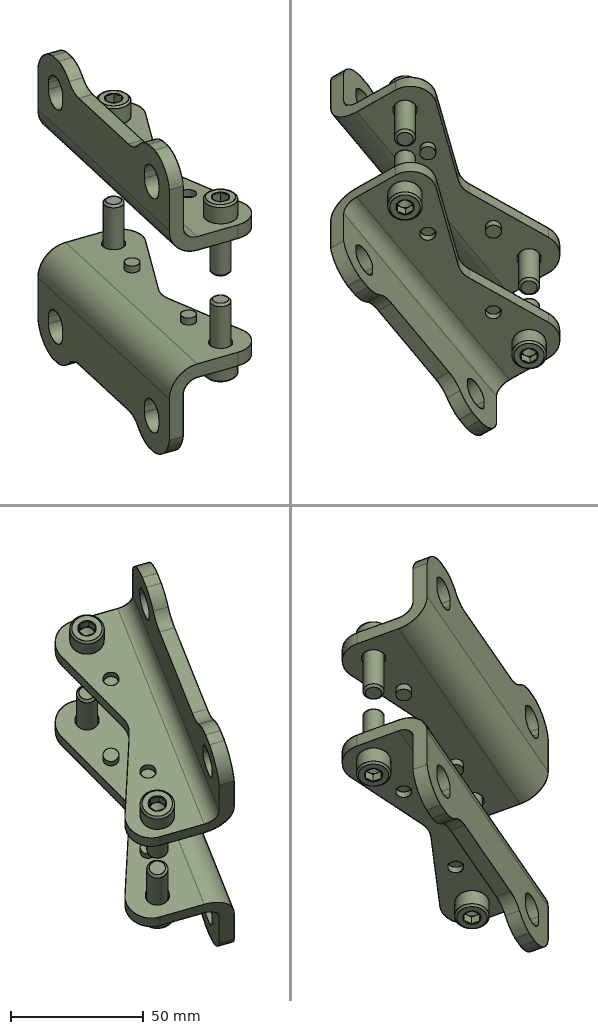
import cadquery as cq
import math

total_height = 133.0
width = 102.0
depth = 39.6
half_width = width / 2

thickness = 6.0
bend_inner_radius = 6.0
bend_outer_radius = bend_inner_radius + thickness
bracket_height = 41.5
top_z = total_height / 2
seat_z = top_z - bracket_height
head_seat_z = seat_z + thickness

slot_spacing = 74.5
lug_radius = 14.0
lug_inset = (width - slot_spacing) / 2
lug_drop = 8.0
transition_radius = 10.0
slot_width = 11.0
slot_height = 14.0
slot_drop = 15.0
slot_z = top_z - slot_drop

corner_radius = 10.0
notch_radius = 10.0
notch_depth = 14.5

pin_spacing = 43.8
pin_y = 24.5
pin_diameter = 6.0
pin_height = thickness / 2

screw_spacing = 82.9
screw_y = 27.4
clearance_diameter = 9.0
shank_diameter = 8.0
shank_length = 25.0
shank_chamfer = 0.9
head_diameter = 13.0
head_height = 8.0
head_chamfer = 0.8
socket_width = 6.0
socket_depth = 4.0
socket_corners = socket_width / math.cos(math.radians(30))
mouth_slope = math.radians(30)
tip_slope = math.radians(30)


def mirrored_pair(spacing, y):
    """Two points placed symmetrically about X = 0."""
    return [(-spacing / 2, y), (spacing / 2, y)]


def bent_plate():
    """L-shaped strip with a rounded bend, running along X."""
    block = (
        cq.Workplane("XY")
        .box(width, depth, bracket_height, centered=(True, False, False))
        .edges("|X and <Y and <Z").fillet(bend_outer_radius)
    )
    inside = (
        cq.Workplane("XY")
        .box(width, depth, bracket_height, centered=(True, False, False))
        .edges("|X and <Y and <Z").fillet(bend_inner_radius)
        .translate((0, thickness, thickness))
    )
    return block.cut(inside).translate((0, 0, seat_z))


def upright_outline():
    """Prism along Y that shapes the two rounded lugs."""
    lug_x = -half_width + lug_inset
    lug_z = top_z - lug_inset
    half_flat = math.sqrt(lug_radius**2 - lug_inset**2)
    valley_z = top_z - lug_drop

    def on_lug(angle):
        return (lug_x + lug_radius * math.cos(angle), lug_z + lug_radius * math.sin(angle))

    centre_distance = lug_radius + transition_radius
    join_angle = math.asin((valley_z + transition_radius - lug_z) / centre_distance)
    valley_start = lug_x + centre_distance * math.cos(join_angle)
    flat_end_angle = math.acos(half_flat / lug_radius)
    return (
        cq.Workplane("XZ")
        .moveTo(0, seat_z)
        .lineTo(-half_width, seat_z)
        .lineTo(-half_width, lug_z + half_flat)
        .threePointArc(on_lug(math.radians(135)), (lug_x - half_flat, top_z))
        .lineTo(lug_x + half_flat, top_z)
        .threePointArc(on_lug((flat_end_angle + join_angle) / 2), on_lug(join_angle))
        .tangentArcPoint((valley_start, valley_z), relative=False)
        .lineTo(0, valley_z)
        .mirrorY()
        .extrude(-depth)
    )


def flat_outline():
    """Prism along Z that shapes the rounded corners and the V notch."""
    corner_x = -half_width + corner_radius
    corner_y = depth - corner_radius
    notch_y = depth - notch_depth + notch_radius
    rise = notch_y - corner_y
    centre_distance = math.hypot(corner_x, rise)
    slope = math.asin((corner_radius + notch_radius) / centre_distance) - math.atan2(rise, -corner_x)
    across = math.sin(slope)
    along = math.cos(slope)
    corner_end = (corner_x + corner_radius * across, corner_y + corner_radius * along)
    return (
        cq.Workplane("XY", origin=(0, 0, seat_z))
        .lineTo(-half_width, 0)
        .lineTo(-half_width, corner_y)
        .tangentArcPoint(corner_end, relative=False)
        .lineTo(-notch_radius * across, notch_y - notch_radius * along)
        .tangentArcPoint((0, depth - notch_depth), relative=False)
        .mirrorY()
        .extrude(bracket_height)
    )


def cylinders(points, z, diameter, height):
    """Vertical cylinders from height z, running down where height is negative."""
    return cq.Workplane("XY", origin=(0, 0, z)).pushPoints(points).circle(diameter / 2).extrude(height)


def make_bracket():
    """Upper bracket: bent plate with slots, screw holes and locating pins."""
    plate = bent_plate().intersect(upright_outline()).intersect(flat_outline())
    slots = (
        cq.Workplane("XZ")
        .pushPoints(mirrored_pair(slot_spacing, slot_z))
        .slot2D(slot_height, slot_width, 90)
        .extrude(-thickness)
    )
    screw_holes = cylinders(mirrored_pair(screw_spacing, screw_y), seat_z, clearance_diameter, thickness)
    pin_points = mirrored_pair(pin_spacing, pin_y)
    pins = cylinders(pin_points, seat_z, pin_diameter, -pin_height)
    recesses = cylinders(pin_points, head_seat_z, pin_diameter, -pin_height)
    return plate.cut(slots).cut(screw_holes).union(pins).cut(recesses)


def cone_tool(radius, slope, z):
    """Downward-pointing cone with its base at height z."""
    return cq.Workplane("XY").add(cq.Solid.makeCone(radius, 0, radius * math.tan(slope), (0, 0, z), (0, 0, -1)))


def make_screw():
    """Socket head screw pointing down, head resting on Z = 0."""
    head = (
        cq.Workplane("XY").circle(head_diameter / 2).extrude(head_height)
        .faces(">Z").edges().chamfer(head_chamfer)
    )
    shank = (
        cq.Workplane("XY").circle(shank_diameter / 2).extrude(-shank_length)
        .faces("<Z").edges().chamfer(shank_chamfer)
    )
    socket_floor = head_height - socket_depth
    socket = (
        cq.Workplane("XY", origin=(0, 0, socket_floor))
        .transformed(rotate=(0, 0, 30))
        .polygon(6, socket_corners)
        .extrude(socket_depth)
    )
    tip = cone_tool(socket_width / 2, tip_slope, socket_floor)
    mouth = cone_tool(socket_corners / 2, mouth_slope, head_height)
    return head.union(shank).cut(socket).cut(tip).cut(mouth)


upper_bracket = make_bracket()
lower_bracket = upper_bracket.mirror("XY")

screw = make_screw()
screws = []
for screw_x, y in mirrored_pair(screw_spacing, screw_y):
    upper_screw = screw.translate((screw_x, y, head_seat_z))
    screws += [upper_screw.val(), upper_screw.mirror("XY").val()]

result = cq.Compound.makeCompound([upper_bracket.val(), lower_bracket.val(), *screws])